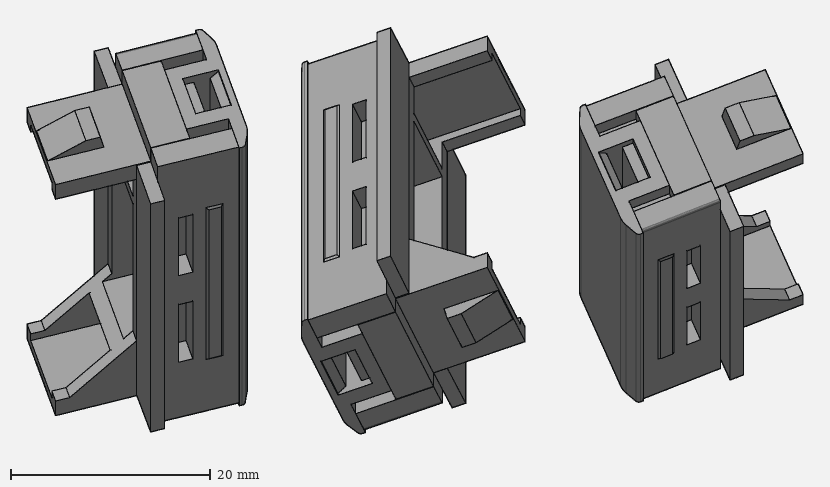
import cadquery as cq
import math

length = 45.0
width = 19.6
depth = 20.0
back = depth / 2

cover_front = back - 1.5
block_back = back - 5.9
block_front = back - 10.0
frame_front = back - 11.48
arm_tip = -depth / 2

cover_half_width = 7.55
cover_flat_half_width = 5.65
cover_shoulder_drop = 0.9
shoulder_radius = 2.25
corner_radius = 0.45
post_width = 7.6
end_notch_depth = 2.25
hole_width = 4.5
hole_back = back - 0.7
hole_front = back - 4.45
throat_back = back - 1.58
throat_front = back - 3.3
hole_lip = 0.25
ramp_rise = hole_back - throat_back

carrier_width = 9.9
arm_half_span = 20.15
arm_thickness = 2.55
brace_foot = back - 18.5
pocket_width = 7.35
pocket_back = back - 7.45
web = 1.4
middle_pocket_half_length = 11.55

latch_width = 3.85
latch_height = 1.9
latch_heel = back - 14.0
latch_crest_back = back - 14.35
latch_crest_front = back - 15.9
latch_toe = back - 19.9

rail_clearance = 0.05
rail_lean = 0.05
rail_inner_front = carrier_width / 2 + rail_clearance
rail_inner_back = rail_inner_front + rail_lean
rail_outer_front = 7.35
rail_outer_back = rail_outer_front + rail_lean
rail_end_taper = 2.0
flange_half_length = 20.05
rail_edge_radius = 0.25
rib_half_length = 13.28
rib_back = back - 3.1
rib_front = back - 4.95
rib_bevel = 0.25
slot_back = back - 6.3
slot_front = back - 7.8
slot_length = 10.05
slot_offset = 7.55


def box(x0, x1, y0, y1, z0, z1):
    """Axis-aligned block between two opposite corners."""
    return cq.Workplane("XY").box(x1 - x0, y1 - y0, z1 - z0, centered=False).translate((x0, y0, z0))


def centred_box(box_width, y0, y1, z0, z1):
    """Block centred on X."""
    return box(-box_width / 2, box_width / 2, y0, y1, z0, z1)


def extrude_across(points, across):
    """Extrude a (Y, Z) outline symmetrically along X."""
    return cq.Workplane("YZ").polyline(points).close().extrude(across / 2, both=True)


def make_cover():
    """Back cover with a central post, notched at both ends and pierced lengthways."""
    half = length / 2
    bar_outline = [
        (-cover_half_width, cover_front),
        (-cover_half_width, back - cover_shoulder_drop),
        (-cover_flat_half_width, back),
        (cover_flat_half_width, back),
        (cover_half_width, back - cover_shoulder_drop),
        (cover_half_width, cover_front),
    ]
    bar = cq.Workplane("XY").workplane(offset=-half).polyline(bar_outline).close().extrude(length)
    bar = bar.edges("|Z").edges(">Y").fillet(shoulder_radius)
    shoulder_edges = cq.selectors.BoxSelector(
        (-width, back - cover_shoulder_drop - corner_radius / 2, -length),
        (width, back - cover_shoulder_drop + corner_radius / 2, length),
    )
    bar = bar.edges("|Z").edges(shoulder_edges).fillet(corner_radius)

    core_half = half - end_notch_depth
    core = centred_box(carrier_width, block_back, cover_front, -core_half, core_half)
    post = centred_box(post_width, block_back, cover_front, -half, half)
    cover = bar.union(core).union(post)

    ramp_start = half - hole_lip
    ramp_end = ramp_start - ramp_rise
    hole_outline = [
        (hole_back, half),
        (hole_back, ramp_start),
        (throat_back, ramp_end),
        (throat_back, -ramp_end),
        (hole_back, -ramp_start),
        (hole_back, -half),
        (hole_front, -half),
        (hole_front, -ramp_end),
        (throat_front, -ramp_end),
        (throat_front, ramp_end),
        (hole_front, ramp_end),
        (hole_front, half),
    ]
    return cover.cut(extrude_across(hole_outline, hole_width))


def make_latch():
    """Ramped tooth on the outer face of the upper arm."""
    crest = arm_half_span + latch_height
    outline = [
        (latch_heel, arm_half_span),
        (latch_crest_back, crest),
        (latch_crest_front, crest),
        (latch_toe, arm_half_span),
    ]
    return extrude_across(outline, latch_width)


def make_carrier():
    """Block with a forward frame, two latch arms, a braced lower arm and three front pockets."""
    half = length / 2
    arm_inner = arm_half_span - arm_thickness
    brace_top = -arm_inner + (frame_front - brace_foot)
    side_outline = [
        (block_back, half),
        (block_front, half),
        (block_front, arm_half_span),
        (arm_tip, arm_half_span),
        (arm_tip, arm_inner),
        (frame_front, arm_inner),
        (frame_front, brace_top),
        (brace_foot, -arm_inner),
        (arm_tip, -arm_inner),
        (arm_tip, -arm_half_span),
        (block_front, -arm_half_span),
        (block_front, -half),
        (block_back, -half),
    ]
    carrier = extrude_across(side_outline, carrier_width)

    end_pocket_outer = arm_half_span - web
    end_pocket_inner = middle_pocket_half_length + web
    for bottom, top in (
        (end_pocket_inner, end_pocket_outer),
        (-middle_pocket_half_length, middle_pocket_half_length),
        (-end_pocket_outer, -end_pocket_inner),
    ):
        carrier = carrier.cut(centred_box(pocket_width, arm_tip, pocket_back, bottom, top))

    latch = make_latch()
    return carrier.union(latch).union(latch.mirror("XY"))


def tapered_slab(plan, half_length):
    """Extrude an (X, Y) plan along Z, its ends sloping away from the inner face of the rail."""
    slab = cq.Workplane("XY").workplane(offset=-half_length).polyline(plan).close().extrude(2 * half_length)
    end_drop = (width / 2 - rail_inner_front) * math.tan(math.radians(rail_end_taper))
    envelope = (
        cq.Workplane("XZ", origin=(0, back, 0))
        .polyline([
            (-rail_inner_front, half_length),
            (-width / 2, half_length - end_drop),
            (-width / 2, end_drop - half_length),
            (-rail_inner_front, -half_length),
        ])
        .close()
        .extrude(depth)
    )
    return slab.intersect(envelope)


def make_rail():
    """Left side rail: leaning plate with a front flange, an outer rib and two slots."""
    plate_plan = [
        (-rail_inner_front, block_front),
        (-rail_outer_front, block_front),
        (-rail_outer_back, cover_front),
        (-rail_inner_back, cover_front),
    ]
    plate = tapered_slab(plate_plan, length / 2)
    plate = plate.faces("<X").edges(">Z").fillet(rail_edge_radius)

    flange_plan = [
        (-rail_inner_front, frame_front),
        (-width / 2, frame_front),
        (-width / 2, block_front),
        (-rail_inner_front, block_front),
    ]
    flange = tapered_slab(flange_plan, flange_half_length)

    rib_height = cover_half_width - rail_outer_front
    rib = (
        cq.Workplane("YZ", origin=(-rail_outer_front, (rib_back + rib_front) / 2, 0))
        .rect(rib_back - rib_front, 2 * rib_half_length)
        .extrude(-rib_height, taper=math.degrees(math.atan2(rib_bevel, rib_height)))
    )
    rail = plate.union(flange).union(rib)

    for centre in (-slot_offset, slot_offset):
        rail = rail.cut(box(
            -width / 2, 0, slot_front, slot_back,
            centre - slot_length / 2, centre + slot_length / 2,
        ))
    return rail


cover = make_cover()
carrier = make_carrier()

rails = [make_rail().rotate((0, 0, 0), (0, 1, 0), angle) for angle in (0, 180)]

result = cq.Compound.makeCompound([cover.val(), carrier.val(), *[rail.val() for rail in rails]])